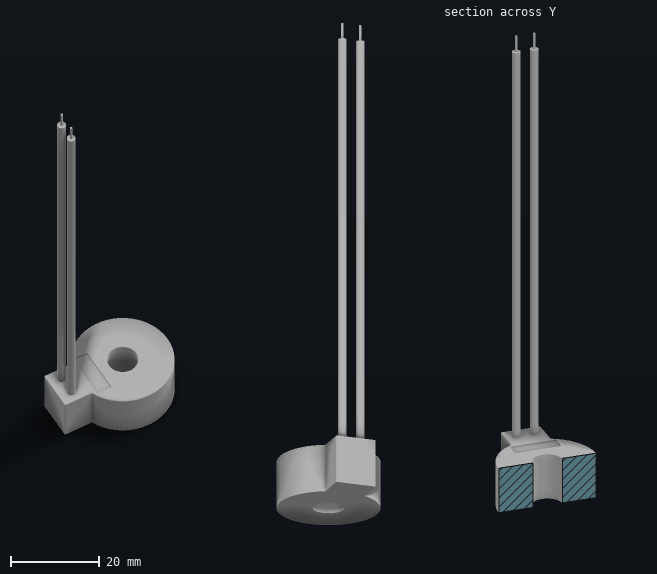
import cadquery as cq

ring_radius = 11.8
bore_diameter = 7.0
body_height = 11.2

block_width = 9.5
block_front = 17.8
edge_fillet = 0.25

label_width = 11.1
label_back = 6.1
label_front = 9.8
label_depth = 0.3

overall_height = 111.0
lead_spacing = 4.3
lead_offset = 14.7
insulation_diameter = 2.0
conductor_diameter = 0.5
bare_length = 3.9


def make_body():
    """Ring and terminal block with rounded top edges and front corners."""
    ring = cq.Workplane("XY").circle(ring_radius).extrude(body_height)
    block = (
        cq.Workplane("XY")
        .center(0, -block_front / 2)
        .rect(block_width, block_front)
        .extrude(body_height)
        .edges("|Z and <Y")
        .fillet(edge_fillet)
    )
    bore = cq.Workplane("XY").circle(bore_diameter / 2).extrude(body_height)
    return ring.union(block).cut(bore).faces(">Z").edges().fillet(edge_fillet)


def make_label_recess():
    """Rectangular pocket that holds the label."""
    return (
        cq.Workplane("XY", origin=(0, -(label_back + label_front) / 2, body_height - label_depth))
        .rect(label_width, label_front - label_back)
        .extrude(label_depth)
    )


def make_lead(x):
    """Insulated wire rising from the block top, with a bare conductor at its end."""
    insulation_length = overall_height - bare_length - body_height
    return (
        cq.Workplane("XY", origin=(x, -lead_offset, body_height))
        .circle(insulation_diameter / 2)
        .extrude(insulation_length)
        .faces(">Z")
        .workplane()
        .circle(conductor_diameter / 2)
        .extrude(bare_length)
    )


result = make_body().cut(make_label_recess())
for side in (-1, 1):
    result = result.union(make_lead(side * lead_spacing / 2))